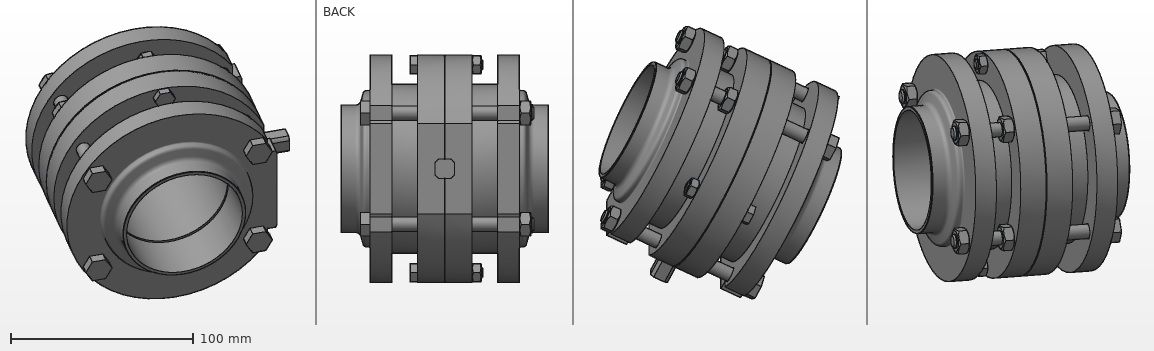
import cadquery as cq
import math


RIM_RADIUS = 62.5
FLAT_Y = 57.4
BORE_RADIUS = 66.0 / 2

DISC_HALF_LENGTH = 15.0
FLANGE_INNER_X = 29.0
FLANGE_OUTER_X = 40.9
PIPE_END_X = 57.0

COLLAR_RADIUS = 86.0 / 2
COLLAR_END_X = 42.8
COLLAR_ROUND = 2.0
COLLAR_ROOT_FILLET = 0.8
PIPE_RADIUS = 70 / 2
PIPE_START_X = 48.9
PIPE_ROUND = 3.0
PIPE_CHAMFER_LENGTH = 0.4
PIPE_END_RADIUS = 69.6 / 2

CORNER_CUT_Y = 52.0
TAB_HALF_WIDTH = 26.4

HUB_RADIUS = 93.0 / 2
SEAL_GROOVE_RADIUS = 77.0 / 2
SEAL_GROOVE_WIDTH = 1.5
JOINT_GROOVE_WIDTH = 0.4
JOINT_GROOVE_DEPTH = 0.7

STEM_TIP_Y = 74.8
STEM_SQUARE = 10.5
STEM_RADIUS = 6.2

LONG_BOLT_RADIUS = 8.0 / 2
LONG_BOLT_HOLE_RADIUS = 8.5 / 2
LONG_BOLT_Y = 45.7
LONG_BOLT_Z = 30.5
LONG_BOLT_FLATS = 13.0
LONG_NUT_HEIGHT = 6.5
LONG_HEAD_HEIGHT = 5.4
LONG_BOLT_PROTRUSION = 8.0
LONG_BOLT_CHAMFER = 1.0

SHORT_BOLT_RADIUS = 6.0 / 2
SHORT_BOLT_Z = 57.0
SHORT_BOLT_FLATS = 10.0
SHORT_NUT_HEIGHT = 5.1
SHORT_HEAD_HEIGHT = 4.0
SHORT_BOLT_PROTRUSION = 5.9
SHORT_BOLT_CHAMFER = 0.7

NUT_FACE_RATIO = 0.9
NUT_CHAMFER_ANGLE = math.radians(30)
HEXAGON_FLATS_TO_CORNERS = 1 / math.cos(math.pi / 6)


def cylinder(radius, x_start, x_end, y=0, z=0):
    """Cylinder along X between two stations."""
    return cq.Workplane("YZ", origin=(x_start, y, z)).circle(radius).extrude(x_end - x_start)


def stem_side_cut(y, x_start, x_end):
    """Block that removes everything beyond the given Y between two stations."""
    return cq.Workplane("XY").box(
        x_end - x_start, RIM_RADIUS, 2 * RIM_RADIUS, centered=(False, False, True)
    ).translate((x_start, y, 0))


def hexagon(flats, x_start, height, y, z):
    """Hexagonal prism along X with two flats facing +Z and -Z."""
    corner_diameter = flats * HEXAGON_FLATS_TO_CORNERS
    return cq.Workplane("YZ", origin=(x_start, y, z)).polygon(6, corner_diameter).extrude(height)


def nut(flats, x_start, height, y, z):
    """Hexagon nut whose corners are chamfered at both ends."""
    corner_radius = flats * HEXAGON_FLATS_TO_CORNERS / 2
    face_radius = NUT_FACE_RATIO * flats / 2
    chamfer = (corner_radius - face_radius) * math.tan(NUT_CHAMFER_ANGLE)
    envelope = (
        cq.Workplane("XY")
        .polyline([
            (0, 0),
            (0, face_radius),
            (chamfer, corner_radius),
            (height - chamfer, corner_radius),
            (height, face_radius),
            (height, 0),
        ])
        .close()
        .revolve(360, (0, 0), (1, 0))
        .translate((x_start, y, z))
    )
    return hexagon(flats, x_start, height, y, z).intersect(envelope)


def bolt(radius, end_chamfer, flats, nut_height, head_height, protrusion, grip_x, y, z):
    """Bolt clamping from -grip_x to +grip_x, with its nut on -X and its head on +X."""
    shank = cylinder(radius, -grip_x - protrusion, grip_x, y, z).faces("<X").chamfer(end_chamfer)
    head = hexagon(flats, grip_x, head_height, y, z)
    return shank.union(head).union(nut(flats, -grip_x - nut_height, nut_height, y, z))


def long_bolt_places():
    return [(y, z) for y in (-LONG_BOLT_Y, LONG_BOLT_Y) for z in (-LONG_BOLT_Z, LONG_BOLT_Z)]


def weld_neck_profile():
    """Half section of the flange and neck; x is measured along the bore, y is the radius."""
    collar_centre = (COLLAR_END_X, COLLAR_RADIUS - COLLAR_ROUND)
    pipe_centre = (PIPE_START_X, PIPE_RADIUS + PIPE_ROUND)
    dx = pipe_centre[0] - collar_centre[0]
    dr = pipe_centre[1] - collar_centre[1]
    turn = math.atan2(dr, dx) + math.acos((COLLAR_ROUND + PIPE_ROUND) / math.hypot(dx, dr))

    def on_collar_round(angle):
        return (
            collar_centre[0] + COLLAR_ROUND * math.cos(angle),
            collar_centre[1] + COLLAR_ROUND * math.sin(angle),
        )

    def on_pipe_round(angle):
        return (
            pipe_centre[0] - PIPE_ROUND * math.cos(angle),
            pipe_centre[1] - PIPE_ROUND * math.sin(angle),
        )

    middle = (turn + math.pi / 2) / 2
    fillet_middle = COLLAR_ROOT_FILLET * (1 - math.sqrt(0.5))
    return (
        cq.Workplane("XY")
        .moveTo(FLANGE_INNER_X, BORE_RADIUS)
        .lineTo(FLANGE_INNER_X, RIM_RADIUS)
        .lineTo(FLANGE_OUTER_X, RIM_RADIUS)
        .lineTo(FLANGE_OUTER_X, COLLAR_RADIUS + COLLAR_ROOT_FILLET)
        .threePointArc(
            (FLANGE_OUTER_X + fillet_middle, COLLAR_RADIUS + fillet_middle),
            (FLANGE_OUTER_X + COLLAR_ROOT_FILLET, COLLAR_RADIUS),
        )
        .lineTo(COLLAR_END_X, COLLAR_RADIUS)
        .threePointArc(on_collar_round(middle), on_collar_round(turn))
        .lineTo(*on_pipe_round(turn))
        .threePointArc(on_pipe_round(middle), (PIPE_START_X, PIPE_RADIUS))
        .lineTo(PIPE_END_X - PIPE_CHAMFER_LENGTH, PIPE_RADIUS)
        .lineTo(PIPE_END_X, PIPE_END_RADIUS)
        .lineTo(PIPE_END_X, BORE_RADIUS)
        .close()
    )


def make_weld_flange():
    """Weld-neck flange on the +X side."""
    flange = weld_neck_profile().revolve(360, (0, 0), (1, 0))
    flange = flange.cut(stem_side_cut(FLAT_Y, FLANGE_INNER_X, FLANGE_OUTER_X))
    tab_zone = cq.Workplane("XY").box(2 * PIPE_END_X, 4 * RIM_RADIUS, 2 * TAB_HALF_WIDTH)
    corner_cuts = stem_side_cut(CORNER_CUT_Y, FLANGE_INNER_X, FLANGE_OUTER_X).cut(tab_zone)
    flange = flange.cut(corner_cuts)
    for y, z in long_bolt_places():
        flange = flange.cut(cylinder(LONG_BOLT_HOLE_RADIUS, FLANGE_INNER_X, FLANGE_OUTER_X, y, z))
    return flange


def make_stem():
    """Square stem end with corners rounded by a cylinder, standing on the flat."""
    height = STEM_TIP_Y - FLAT_Y
    base = cq.Workplane("XZ", origin=(0, FLAT_Y, 0))
    square = base.rect(STEM_SQUARE, STEM_SQUARE).extrude(-height)
    return square.intersect(base.circle(STEM_RADIUS).extrude(-height))


def make_valve():
    """Valve discs and hub with their stem, short bolts and long bolts."""
    valve = cylinder(RIM_RADIUS, -DISC_HALF_LENGTH, DISC_HALF_LENGTH)
    valve = valve.cut(stem_side_cut(FLAT_Y, -DISC_HALF_LENGTH, DISC_HALF_LENGTH))

    groove_half = JOINT_GROOVE_WIDTH / 2
    groove_floor = cylinder(RIM_RADIUS - JOINT_GROOVE_DEPTH, -groove_half, groove_half)
    groove_floor = groove_floor.cut(
        stem_side_cut(FLAT_Y - JOINT_GROOVE_DEPTH, -groove_half, groove_half)
    )
    valve = valve.cut(cylinder(RIM_RADIUS, -groove_half, groove_half).cut(groove_floor))

    valve = valve.union(cylinder(HUB_RADIUS, -FLANGE_INNER_X, FLANGE_INNER_X))
    valve = valve.cut(cylinder(BORE_RADIUS, -FLANGE_INNER_X, FLANGE_INNER_X))

    groove_inner_x = FLANGE_INNER_X - SEAL_GROOVE_WIDTH
    for x_start, x_end in ((-FLANGE_INNER_X, -groove_inner_x), (groove_inner_x, FLANGE_INNER_X)):
        valve = valve.cut(cylinder(SEAL_GROOVE_RADIUS, x_start, x_end))

    valve = valve.union(make_stem())
    for z in (-SHORT_BOLT_Z, SHORT_BOLT_Z):
        valve = valve.union(bolt(
            SHORT_BOLT_RADIUS, SHORT_BOLT_CHAMFER, SHORT_BOLT_FLATS, SHORT_NUT_HEIGHT,
            SHORT_HEAD_HEIGHT, SHORT_BOLT_PROTRUSION, DISC_HALF_LENGTH, 0, z,
        ))
    for y, z in long_bolt_places():
        valve = valve.union(bolt(
            LONG_BOLT_RADIUS, LONG_BOLT_CHAMFER, LONG_BOLT_FLATS, LONG_NUT_HEIGHT,
            LONG_HEAD_HEIGHT, LONG_BOLT_PROTRUSION, FLANGE_OUTER_X, y, z,
        ))

    lock_nut_x = -DISC_HALF_LENGTH - LONG_NUT_HEIGHT
    for z in (-LONG_BOLT_Z, LONG_BOLT_Z):
        valve = valve.union(nut(LONG_BOLT_FLATS, lock_nut_x, LONG_NUT_HEIGHT, -LONG_BOLT_Y, z))
    return valve


valve_body = make_valve()
right_flange = make_weld_flange()
left_flange = right_flange.mirror("YZ")

result = cq.Compound.makeCompound([valve_body.val(), left_flange.val(), right_flange.val()])